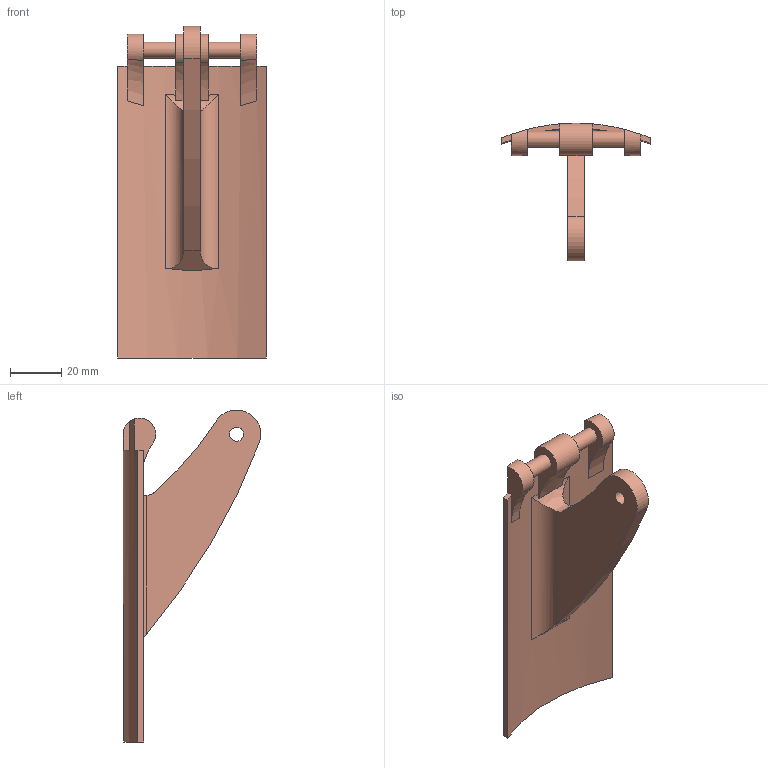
import cadquery as cq
import math

plate_width = 58.32
plate_height = 114.3
plate_thickness = 2.032
back_radius = 76.2
front_radius = back_radius - plate_thickness
plate_axis_y = -back_radius

knuckle_radius = 6.35
knuckle_fillet = 27.0
knuckle_y = -knuckle_radius
hinge_z = plate_height + knuckle_radius
pin_diameter = 6.35
knuckle_spans = [(-25.4, -19.05), (-6.35, 6.35), (19.05, 25.4)]
pin_embed = 0.5
pin_length = 2 * (knuckle_spans[-1][0] + pin_embed)

blade_thickness = 6.35
tip_y = -44.45
tip_z = hinge_z
tip_radius = 9.525
tip_hole_diameter = 5.46
upper_arc_radius = 133.35
upper_arc_y = 75.6
lower_arc_radius = 260.0
heel_z = 34.3
root_fillet = 6.35

flare_x = blade_thickness / 2 + root_fillet
flare_y = plate_axis_y + math.sqrt((front_radius - root_fillet) ** 2 - flare_x**2)

blank_width = 23.0
embed_y = -plate_thickness / 2

center_tolerance = 0.1


def upright_cylinder(radius, height):
    return cq.Workplane("XY").center(0, plate_axis_y).circle(radius).extrude(height)


def slab(x_min, x_max, y_min, y_max, z_min, z_max):
    size = (x_max - x_min, y_max - y_min, z_max - z_min)
    return cq.Workplane("XY").box(*size, centered=False).translate((x_min, y_min, z_min))


def cross_rod(y, z, radius, length):
    """Solid cylinder along X, centred on X = 0."""
    return cq.Workplane("YZ", origin=(-length / 2, y, z)).circle(radius).extrude(length)


def toward(start, target, distance):
    """Point at a distance from start, on the line toward target."""
    span = math.dist(start, target)
    return tuple(s + (t - s) * distance / span for s, t in zip(start, target))


def on_circle(center, radius, y, side):
    """Point of a YZ circle at a given y, above (+1) or below (-1) its centre."""
    return y, center[1] + side * math.sqrt(radius**2 - (y - center[0]) ** 2)


def arc_middle(center, radius, start, end):
    """Middle of the short arc between two points of a circle."""
    chord_middle = ((start[0] + end[0]) / 2, (start[1] + end[1]) / 2)
    return toward(center, chord_middle, radius)


def central_edges(y_min, y_max, z_min, z_max):
    """Selector for edges whose middle lies on X = 0, inside a YZ window."""
    return cq.selectors.BoxSelector(
        (-center_tolerance, y_min, z_min), (center_tolerance, y_max, z_max), boundingbox=False
    )


def make_plate():
    half_width = plate_width / 2
    wall = upright_cylinder(back_radius, plate_height).cut(upright_cylinder(front_radius, plate_height))
    return wall.intersect(slab(-half_width, half_width, plate_axis_y / 2, 0, 0, plate_height))


def make_knuckles():
    """One full-width knuckle, blended into the plate front, sliced into three."""
    half_width = plate_width / 2
    backing = slab(-half_width, half_width, plate_axis_y / 2, knuckle_radius, 0, hinge_z)
    backing = backing.cut(upright_cylinder(front_radius, hinge_z))
    rod = cross_rod(knuckle_y, hinge_z, knuckle_radius, plate_width)
    under_rod = central_edges(knuckle_y, embed_y, plate_height, hinge_z - knuckle_radius / 2)
    blended = backing.union(rod).edges(under_rod).fillet(knuckle_fillet)
    trimmed = blended.intersect(upright_cylinder(back_radius, hinge_z + knuckle_radius))

    knuckles = cq.Workplane("XY")
    knuckle_bottom = plate_height - knuckle_fillet
    for x_min, x_max in knuckle_spans:
        cutter = slab(x_min, x_max, plate_axis_y, 0, knuckle_bottom, hinge_z + knuckle_radius)
        knuckles = knuckles.add(trimmed.intersect(cutter))
    return knuckles.combine()


def blade_outline():
    """Tip circle with a concave upper arc and a convex lower arc, both tangent to it.

    The lower edge runs straight over the short stretch where the blade flares into the plate.
    """
    tip = (tip_y, tip_z)

    upper_reach = upper_arc_radius + tip_radius
    upper_center = on_circle(tip, upper_reach, upper_arc_y, 1)
    upper_tangent = toward(tip, upper_center, tip_radius)
    upper_root = on_circle(upper_center, upper_arc_radius, embed_y, -1)

    heel = (-plate_thickness, heel_z)
    tip_reach = lower_arc_radius - tip_radius
    span = math.dist(tip, heel)
    along = (tip_reach**2 - lower_arc_radius**2 + span**2) / (2 * span)
    offset = math.sqrt(tip_reach**2 - along**2)
    foot = toward(tip, heel, along)
    lower_center = (
        foot[0] - (heel[1] - tip[1]) / span * offset,
        foot[1] + (heel[0] - tip[0]) / span * offset,
    )
    lower_tangent = toward(tip, lower_center, -tip_radius)
    flare_start = on_circle(lower_center, lower_arc_radius, flare_y, -1)
    lower_root = on_circle(lower_center, lower_arc_radius, embed_y, -1)

    return (
        cq.Workplane("YZ")
        .moveTo(*upper_root)
        .threePointArc(arc_middle(upper_center, upper_arc_radius, upper_root, upper_tangent), upper_tangent)
        .threePointArc((tip_y, tip_z + tip_radius), lower_tangent)
        .threePointArc(arc_middle(lower_center, lower_arc_radius, lower_tangent, flare_start), flare_start)
        .lineTo(*lower_root)
        .close()
    )


def blade_plan():
    """Plan of the blade: parallel sides flaring into the plate with tangent arcs."""
    half = blade_thickness / 2
    flare_center = (flare_x, flare_y)
    side = (half, flare_y)
    root = toward((0, plate_axis_y), flare_center, front_radius)
    middle = arc_middle(flare_center, root_fillet, side, root)
    front_y = tip_y - 2 * tip_radius

    return (
        cq.Workplane("XY")
        .moveTo(half, front_y)
        .lineTo(*side)
        .threePointArc(middle, root)
        .lineTo(root[0], 0)
        .lineTo(-root[0], 0)
        .lineTo(-root[0], root[1])
        .threePointArc((-middle[0], middle[1]), (-half, flare_y))
        .lineTo(-half, front_y)
        .close()
    )


def make_blade(plate):
    """Wide blade blended to the plate along its upper edge, then cut to the flared plan."""
    wide = plate.union(blade_outline().extrude(blank_width / 2, both=True))
    upper_root = central_edges(-2 * plate_thickness, embed_y, heel_z + tip_radius, plate_height - tip_radius)
    wide = wide.edges(upper_root).fillet(root_fillet)
    blade = wide.intersect(blade_plan().extrude(tip_z + tip_radius))
    hole = cross_rod(tip_y, tip_z, tip_hole_diameter / 2, 2 * blade_thickness)
    return blade.cut(hole)


plate = make_plate()
hinge = make_knuckles().union(cross_rod(knuckle_y, hinge_z, pin_diameter / 2, pin_length))
blade = make_blade(plate)
result = plate.union(hinge).union(blade)